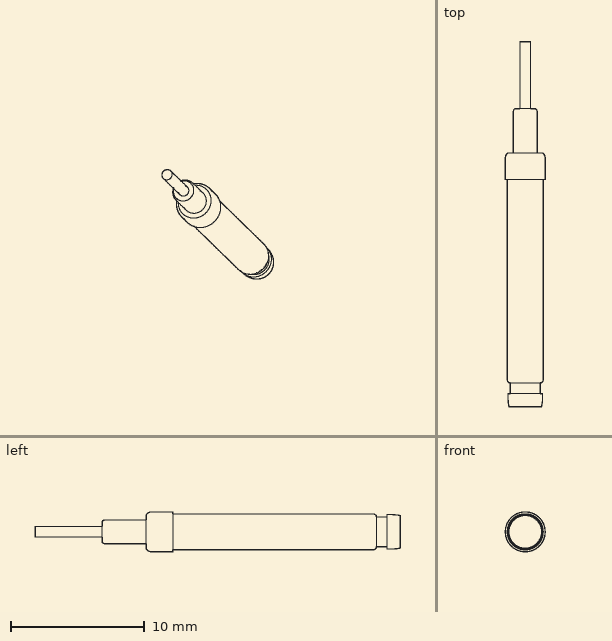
import cadquery as cq
import math

tip_length = 1.0
groove_length = 0.8
body_length = 15.2
collar_length = 2.0
neck_length = 3.3
cable_length = 5.0

tip_diameter = 2.6
groove_diameter = 2.25
body_diameter = 2.7
collar_diameter = 3.0
neck_diameter = 1.8
cable_diameter = 0.8

tip_round_length = 0.6
tip_round_depth = 0.08
body_round_length = 0.25
body_round_depth = 0.13
collar_round_length = 0.4
collar_round_depth = 0.23
neck_round_length = 0.25
neck_round_depth = 0.12

groove_start = tip_length
body_start = groove_start + groove_length
collar_start = body_start + body_length
neck_start = collar_start + collar_length
cable_start = neck_start + neck_length


def plain_section(start, length, diameter):
    """Solid cylinder on the Y axis, reaching from Y = start towards +Y."""
    base = cq.Workplane("XZ", origin=(0, start, 0))
    return base.circle(diameter / 2).extrude(-length)


def rounded_section(rounded_end, square_end, diameter, round_length, round_depth):
    """Solid of revolution about Y whose rounded end narrows along an arc tangent to its cylinder."""
    radius = diameter / 2
    toward_square_end = math.copysign(1, square_end - rounded_end)
    arc_radius = (round_length**2 + round_depth**2) / (2 * round_depth)
    half_angle = math.asin(round_length / arc_radius) / 2
    tangent_y = rounded_end + toward_square_end * round_length
    arc_middle = (
        radius - arc_radius * (1 - math.cos(half_angle)),
        tangent_y - toward_square_end * arc_radius * math.sin(half_angle),
    )
    profile = (
        cq.Workplane("XY")
        .moveTo(0, rounded_end)
        .lineTo(0, square_end)
        .lineTo(radius, square_end)
        .lineTo(radius, tangent_y)
        .threePointArc(arc_middle, (radius - round_depth, rounded_end))
        .close()
    )
    return profile.revolve(360, (0, 0, 0), (0, 1, 0))


tip = rounded_section(0, groove_start, tip_diameter, tip_round_length, tip_round_depth)
groove = plain_section(groove_start, groove_length, groove_diameter)
body = rounded_section(body_start, collar_start, body_diameter, body_round_length, body_round_depth)
collar = rounded_section(neck_start, collar_start, collar_diameter, collar_round_length, collar_round_depth)
neck = rounded_section(cable_start, neck_start, neck_diameter, neck_round_length, neck_round_depth)
cable = plain_section(cable_start, cable_length, cable_diameter)

result = tip
for next_section in (groove, body, collar, neck, cable):
    result = result.union(next_section)